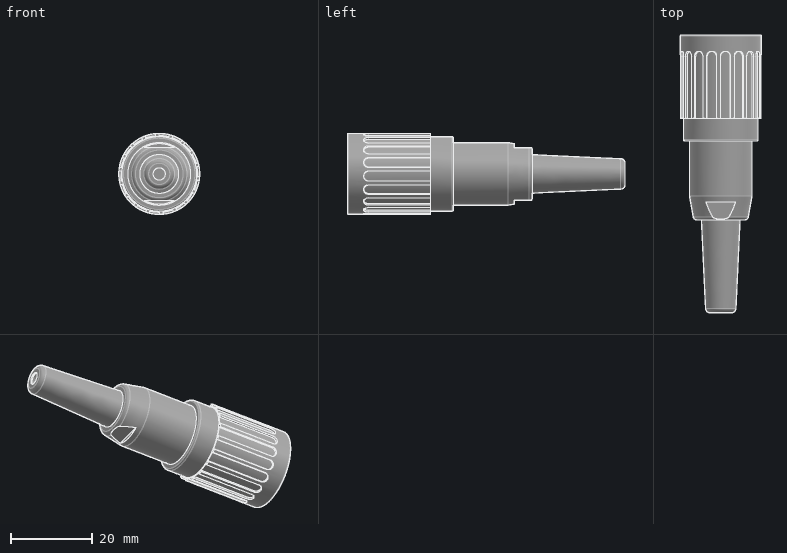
import cadquery as cq

LENGTH = 68.5

COLLAR_DIAMETER = 20.0
COLLAR_LENGTH = 20.55
COLLAR_FILLET = 0.3

GROOVE_COUNT = 18
GROOVE_WIDTH = 2.5
GROOVE_DEPTH = 0.55
GROOVE_START = 4.05
GROOVE_PHASE = 6.8

SLEEVE_DIAMETER = 18.4
SLEEVE_END = 26.2
SLEEVE_FILLET = 0.4

BODY_DIAMETER = 15.5
BODY_END = 39.65
SHOULDER_DIAMETER = 13.35
SHOULDER_END = 45.6
SHOULDER_FILLET = 0.95

FLATS_START = 41.2
FLATS_DISTANCE = 13.0

NOZZLE_ROOT_DIAMETER = 9.6
NOZZLE_TIP_DIAMETER = 7.5
NOZZLE_FILLET = 1.15

MOUTH_DIAMETER = 3.0
END_WALL = 0.35
CAVITY_DIAMETER = 5.5


def disc_at(diameter, distance):
    """Circle on the axis, the given distance ahead of the back face."""
    return cq.Workplane("XZ", origin=(0, -distance, 0)).circle(diameter / 2)


def cylinder(diameter, start, end):
    return disc_at(diameter, start).extrude(end - start)


def cone(start_diameter, end_diameter, start, end):
    return (
        disc_at(start_diameter, start)
        .workplane(offset=end - start)
        .circle(end_diameter / 2)
        .loft()
    )


def make_groove_cutter():
    """Round-ended slot above the axis that leaves a cylindrical groove floor."""
    radius = GROOVE_WIDTH / 2
    round_center = GROOVE_START + radius
    slot = (
        cq.Workplane("XY")
        .moveTo(-radius, -COLLAR_LENGTH)
        .lineTo(-radius, -round_center)
        .threePointArc((0, -GROOVE_START), (radius, -round_center))
        .lineTo(radius, -COLLAR_LENGTH)
        .close()
        .extrude(COLLAR_DIAMETER)
    )
    floor = cylinder(COLLAR_DIAMETER - 2 * GROOVE_DEPTH, 0, COLLAR_LENGTH)
    return slot.cut(floor)


def make_collar():
    collar = cylinder(COLLAR_DIAMETER, 0, COLLAR_LENGTH)
    collar = collar.faces(">Y").edges().fillet(COLLAR_FILLET)
    cutter = make_groove_cutter()
    for index in range(GROOVE_COUNT):
        angle = GROOVE_PHASE + index * 360 / GROOVE_COUNT
        collar = collar.cut(cutter.rotate((0, 0, 0), (0, 1, 0), angle))
    return collar


def make_sleeve():
    sleeve = cylinder(SLEEVE_DIAMETER, COLLAR_LENGTH, SLEEVE_END)
    return sleeve.faces("<Y").edges().fillet(SLEEVE_FILLET)


def make_body():
    """Body and tapered shoulder, with a flat above and below the axis."""
    body = cylinder(BODY_DIAMETER, SLEEVE_END, BODY_END)
    shoulder = cone(BODY_DIAMETER, SHOULDER_DIAMETER, BODY_END, SHOULDER_END)
    shoulder = shoulder.faces("<Y").edges().fillet(SHOULDER_FILLET)
    body = body.union(shoulder)

    block = cq.Workplane("XY").box(BODY_DIAMETER, SHOULDER_END - FLATS_START, BODY_DIAMETER)
    block_y = -(FLATS_START + SHOULDER_END) / 2
    block_height = (FLATS_DISTANCE + BODY_DIAMETER) / 2
    for side in (1, -1):
        body = body.cut(block.translate((0, block_y, side * block_height)))
    return body


def make_nozzle():
    nozzle = cone(NOZZLE_ROOT_DIAMETER, NOZZLE_TIP_DIAMETER, SHOULDER_END, LENGTH)
    nozzle = nozzle.faces("<Y").edges().fillet(NOZZLE_FILLET)
    mouth = cylinder(MOUTH_DIAMETER, LENGTH - END_WALL, LENGTH)
    cavity = cylinder(CAVITY_DIAMETER, SHOULDER_END, LENGTH - END_WALL)
    return nozzle.cut(mouth).cut(cavity)


result = make_collar().union(make_sleeve()).union(make_body()).union(make_nozzle())